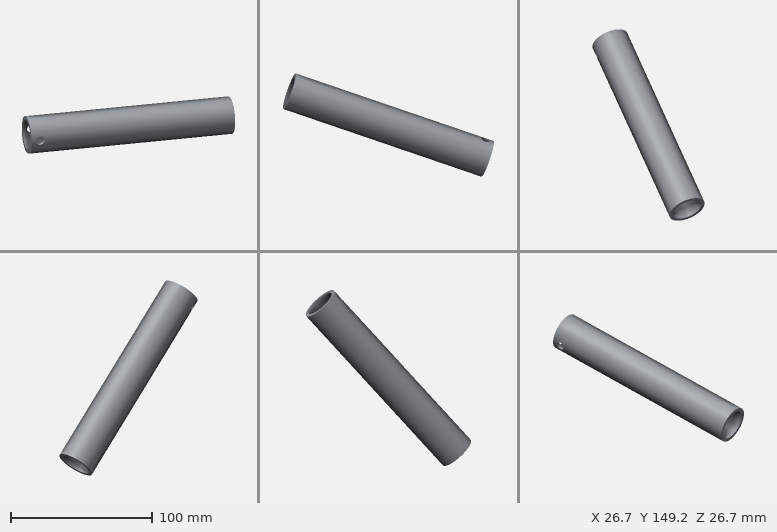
import cadquery as cq

length = 149.2
outer_diameter = 26.7
wall = 2.7
inner_diameter = outer_diameter - 2 * wall
pin_hole_diameter = 6.4
pin_hole_from_end = 6.4
front_end_y = -length / 2


def make_tube():
    """Tube centred on the origin, with its axis along Y."""
    return (
        cq.Workplane("XZ", origin=(0, length / 2, 0))
        .circle(outer_diameter / 2)
        .circle(inner_diameter / 2)
        .extrude(length)
    )


def make_pin_hole():
    """Cylinder along X that passes through both walls."""
    return (
        cq.Workplane("YZ")
        .center(front_end_y + pin_hole_from_end, 0)
        .circle(pin_hole_diameter / 2)
        .extrude(outer_diameter, both=True)
    )


result = make_tube().cut(make_pin_hole())